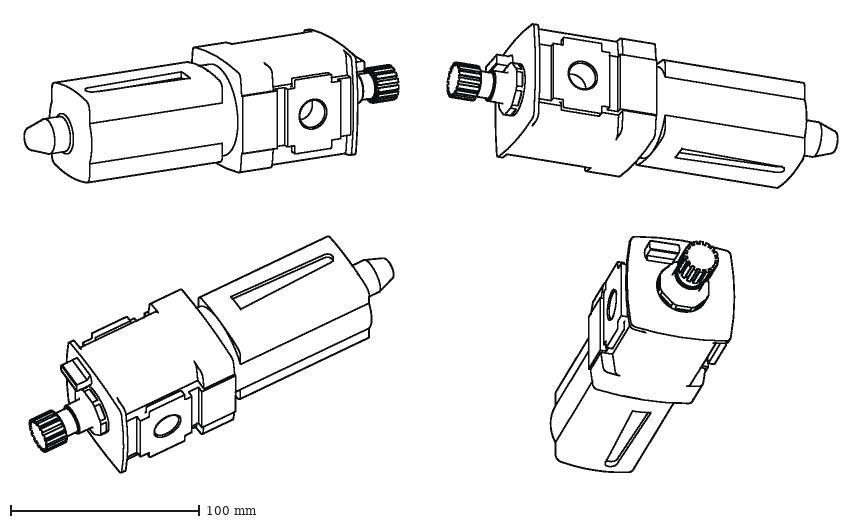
import cadquery as cq
import math


PICK_MARGIN = 2.2

FLANGE_TOP_Y = 69.0
FLANGE_THICKNESS = 2.5
SHOULDER_LENGTH = 18.9
OUTLINE_WIDTH = 59.5
OUTLINE_HALF = OUTLINE_WIDTH / 2
OUTLINE_BOW_RADIUS = 158.2
OUTLINE_CORNER_RADIUS = 3.3
WALL_FOOT_X = 22.5
WALL_LEAN = 0.14
WALL_EDGE_RADIUS = 2.8
PAD_WIDTH = 60.0
PAD_HALF_X = PAD_WIDTH / 2
PAD_HALF_Z = 16.0
LEDGE_WIDTH = 53.0
LEDGE_X = LEDGE_WIDTH / 2
LOWER_PAD_LENGTH = 20.8
PORT_PAD_BOTTOM_Y = 26.9
PORT_PAD_TOP_Y = 58.7
HOOK_HALF_Z = 20.5
HOOK_BOTTOM_Y = 31.2
HOOK_TOP_Y = 53.0
HOOK_FILLET = 0.7
PORT_Y = 42.0
PORT_DIAMETER = 15.0
PORT_MOUTH_DIAMETER = 16.5
PORT_DEPTH = 15.2
PORT_TIP_ANGLE = 118
ADJUSTER_X = -0.7
WASHER_DIAMETER = 28.0
WASHER_HEIGHT = 1.3
NUT_ACROSS_FLATS = 26.7
NUT_SIDES = 8
NUT_TOP_Y = 73.5
STEM_DIAMETER = 16.5
STEM_TOP_Y = 84.0
STEM_FILLET = 2.0
STEM_CHAMFER = 0.7
NECK_DIAMETER = 13.9
KNOB_COLLAR_DIAMETER = 15.0
KNOB_COLLAR_HEIGHT = 0.9
KNOB_BOTTOM_Y = 92.1
KNOB_TOP_Y = 104.3
KNOB_DIAMETER = 18.9
KNOB_TOOTH_COUNT = 16
KNOB_GROOVE_WIDTH = 1.5
KNOB_GROOVE_DEPTH = 1.5
TAB_LEFT_X = 3.5
TAB_RIGHT_X = 20.2
TAB_BOTTOM_Z = 15.8
TAB_TOP_Z = 21.5
TAB_TOP_Y = 78.0
TAB_TIP_CHAMFER = 0.5
TAB_END_RADIUS = 6.5
TAB_FOOT_HEIGHT = 2.4
TAB_FOOT_SPREAD = 1.5

BOWL_DIAMETER = 49.2
BOWL_LENGTH = 87.1
BOWL_NECK_LENGTH = 7.8
GRIP_HALF_X = 21.9
GRIP_BOW_RADIUS = 88.9
GRIP_CORNER_RADIUS = 4.3
CONE_END_DIAMETER = 21.7
CONE_LENGTH = 4.0
NOZZLE_DIAMETER = 18.9
NOZZLE_ROOT_LENGTH = 1.0
NOZZLE_TAPER_Y = -101.5
NOZZLE_END_Y = -112.5
NOZZLE_TIP_DIAMETER = 12.5
NOZZLE_FLAT_DIAMETER = 7.8
NOZZLE_TIP_LENGTH = 2.0
WINDOW_TOP_Y = -21.5
WINDOW_LEFT_X = 0.9
WINDOW_RIGHT_X = 11.0
WINDOW_END_X = 6.3
WINDOW_END_Y = -78
WINDOW_END_RADIUS = 3.3
WINDOW_FLOOR_Z = 21.2


def prism(outline, y_bottom, y_top):
    """Extrude an XZ workplane outline along Y between two levels."""
    return outline.extrude(-(y_top - y_bottom)).translate((0, y_bottom, 0))


def block(x_min, x_max, y_min, y_max, z_min, z_max):
    size = (x_max - x_min, y_max - y_min, z_max - z_min)
    return cq.Workplane("XY").box(*size, centered=False).translate((x_min, y_min, z_min))


def turned(profile):
    """Revolve a profile of (radius, y) points around the Y axis."""
    return profile.close().revolve(360, (0, 0, 0), (0, 1, 0))


def bow_drop(radius, offset):
    """Distance an arc falls below its crown at a given offset from the middle."""
    return radius - math.sqrt(radius**2 - offset**2)


def full_outline(y_bottom, y_top):
    """Square section with four bowed sides and rounded corners."""
    half, radius = OUTLINE_HALF, OUTLINE_BOW_RADIUS
    center_offset = radius - half
    corner = (math.sqrt(2 * radius**2 - center_offset**2) - center_offset) / 2
    outline = (
        cq.Workplane("XZ")
        .moveTo(-corner, corner)
        .threePointArc((0, half), (corner, corner))
        .threePointArc((half, 0), (corner, -corner))
        .threePointArc((0, -half), (-corner, -corner))
        .threePointArc((-half, 0), (-corner, corner))
        .close()
    )
    return prism(outline, y_bottom, y_top).edges("|Y").fillet(OUTLINE_CORNER_RADIUS)


def wall_x(z):
    """X of the leaning side wall at a height above the ledge."""
    return WALL_FOOT_X - WALL_LEAN * (z - PAD_HALF_Z)


def cut_side_recesses(body, y_bottom, y_top):
    """Narrow the middle length to leaning walls above and below a ledge on each side."""
    clear = 2 * OUTLINE_HALF
    corner = prism(
        cq.Workplane("XZ")
        .polyline([
            (WALL_FOOT_X, PAD_HALF_Z), (clear, PAD_HALF_Z), (clear, clear), (wall_x(clear), clear),
        ])
        .close(),
        y_bottom,
        y_top,
    )
    for upper in (corner, corner.mirror("XY")):
        body = body.cut(upper).cut(upper.mirror("YZ"))
    for side in (-1, 1):
        inner, outer = sorted((side * LEDGE_X, side * clear))
        body = body.cut(block(inner, outer, y_bottom, y_top, -PAD_HALF_Z, PAD_HALF_Z))
    wall_top = wall_x(OUTLINE_HALF)
    for x in (-wall_top, wall_top):
        for z in (-OUTLINE_HALF, OUTLINE_HALF):
            crest = cq.selectors.BoxSelector(
                (x - PICK_MARGIN, y_bottom, z - PICK_MARGIN),
                (x + PICK_MARGIN, y_top, z + PICK_MARGIN),
            )
            body = body.edges("|Y").edges(crest).fillet(WALL_EDGE_RADIUS)
    return body


def port_pads():
    """Flat pads and port plates with hooked edges on both sides."""
    lower = block(-PAD_HALF_X, PAD_HALF_X, 0, LOWER_PAD_LENGTH, -PAD_HALF_Z, PAD_HALF_Z)
    plate = block(
        -PAD_HALF_X, PAD_HALF_X, PORT_PAD_BOTTOM_Y, PORT_PAD_TOP_Y, -PAD_HALF_Z, PAD_HALF_Z
    )
    hooks = block(
        -PAD_HALF_X, PAD_HALF_X, HOOK_BOTTOM_Y, HOOK_TOP_Y, -HOOK_HALF_Z, HOOK_HALF_Z
    )
    hook_corners = cq.selectors.BoxSelector(
        (-PAD_HALF_X, HOOK_BOTTOM_Y - PICK_MARGIN, -HOOK_HALF_Z - PICK_MARGIN),
        (PAD_HALF_X, HOOK_TOP_Y + PICK_MARGIN, HOOK_HALF_Z + PICK_MARGIN),
    )
    plate = plate.union(hooks).edges("|X").edges(hook_corners).fillet(HOOK_FILLET)
    hook_gap = block(
        -LEDGE_X, LEDGE_X, PORT_PAD_BOTTOM_Y, PORT_PAD_TOP_Y, -OUTLINE_HALF, OUTLINE_HALF
    )
    return lower.union(plate.cut(hook_gap))


def port_cutter():
    """Drilled blind hole with a chamfered mouth, entering from the -X side."""
    radius = PORT_DIAMETER / 2
    mouth = PORT_MOUTH_DIAMETER / 2
    tip = radius / math.tan(math.radians(PORT_TIP_ANGLE / 2))
    drill = (
        cq.Workplane("XY")
        .polyline([
            (0, 0), (0, mouth), (mouth - radius, radius),
            (PORT_DEPTH, radius), (PORT_DEPTH + tip, 0),
        ])
        .close()
        .revolve(360, (0, 0, 0), (1, 0, 0))
    )
    return drill.translate((-PAD_HALF_X, PORT_Y, 0))


def adjuster():
    """Washer, eight-sided nut with rounded corners, stem, neck and knurled knob."""
    washer_top = FLANGE_TOP_Y + WASHER_HEIGHT
    washer = prism(cq.Workplane("XZ").circle(WASHER_DIAMETER / 2), FLANGE_TOP_Y, washer_top)
    flats = cq.Workplane("XZ").polygon(NUT_SIDES, NUT_ACROSS_FLATS, circumscribed=True)
    rim = cq.Workplane("XZ").circle(WASHER_DIAMETER / 2)
    nut = prism(flats, washer_top, NUT_TOP_Y).intersect(prism(rim, washer_top, NUT_TOP_Y))
    stem_radius = STEM_DIAMETER / 2
    neck_radius = NECK_DIAMETER / 2
    collar_radius = KNOB_COLLAR_DIAMETER / 2
    collar_y = KNOB_BOTTOM_Y - KNOB_COLLAR_HEIGHT
    fillet_mid = STEM_FILLET * (1 - math.sqrt(0.5))
    stem = turned(
        cq.Workplane("XY")
        .moveTo(0, FLANGE_TOP_Y)
        .lineTo(stem_radius + STEM_FILLET, FLANGE_TOP_Y)
        .lineTo(stem_radius + STEM_FILLET, NUT_TOP_Y)
        .threePointArc(
            (stem_radius + fillet_mid, NUT_TOP_Y + fillet_mid),
            (stem_radius, NUT_TOP_Y + STEM_FILLET),
        )
        .lineTo(stem_radius, STEM_TOP_Y - STEM_CHAMFER)
        .lineTo(stem_radius - STEM_CHAMFER, STEM_TOP_Y)
        .lineTo(neck_radius, STEM_TOP_Y)
        .lineTo(neck_radius, collar_y)
        .lineTo(collar_radius, collar_y)
        .lineTo(collar_radius, KNOB_BOTTOM_Y)
        .lineTo(0, KNOB_BOTTOM_Y)
    )
    return washer.union(nut).union(stem).union(knob()).translate((ADJUSTER_X, 0, 0))


def knob():
    """Cylinder with evenly spaced straight grooves around its rim."""
    radius = KNOB_DIAMETER / 2
    body = prism(cq.Workplane("XZ").circle(radius), KNOB_BOTTOM_Y, KNOB_TOP_Y)
    step = 360 / KNOB_TOOTH_COUNT
    for index in range(KNOB_TOOTH_COUNT):
        groove = block(
            radius - KNOB_GROOVE_DEPTH, radius + KNOB_GROOVE_DEPTH,
            KNOB_BOTTOM_Y, KNOB_TOP_Y,
            -KNOB_GROOVE_WIDTH / 2, KNOB_GROOVE_WIDTH / 2,
        )
        angle = (index + 1 / 2) * step
        body = body.cut(groove.rotate((0, 0, 0), (0, 1, 0), angle))
    return body


def lock_tab():
    """Tab on the flange with a chamfered tip, a flared foot and gently rounded ends."""
    foot_y = FLANGE_TOP_Y + TAB_FOOT_HEIGHT
    side = [
        (FLANGE_TOP_Y, TAB_BOTTOM_Z - TAB_FOOT_SPREAD),
        (FLANGE_TOP_Y, TAB_TOP_Z + TAB_FOOT_SPREAD),
        (foot_y, TAB_TOP_Z),
        (TAB_TOP_Y - TAB_TIP_CHAMFER, TAB_TOP_Z),
        (TAB_TOP_Y, TAB_TOP_Z - TAB_TIP_CHAMFER),
        (TAB_TOP_Y, TAB_BOTTOM_Z + TAB_TIP_CHAMFER),
        (TAB_TOP_Y - TAB_TIP_CHAMFER, TAB_BOTTOM_Z),
        (foot_y, TAB_BOTTOM_Z),
    ]
    tab = cq.Workplane("YZ").polyline(side).close().extrude(TAB_RIGHT_X - TAB_LEFT_X)
    half_z = (TAB_TOP_Z - TAB_BOTTOM_Z) / 2 + TAB_FOOT_SPREAD
    middle_z = (TAB_TOP_Z + TAB_BOTTOM_Z) / 2
    bulge = bow_drop(TAB_END_RADIUS, half_z)
    footprint = (
        cq.Workplane("XZ")
        .moveTo(TAB_LEFT_X + bulge, middle_z + half_z)
        .lineTo(TAB_RIGHT_X - bulge, middle_z + half_z)
        .threePointArc((TAB_RIGHT_X, middle_z), (TAB_RIGHT_X - bulge, middle_z - half_z))
        .lineTo(TAB_LEFT_X + bulge, middle_z - half_z)
        .threePointArc((TAB_LEFT_X, middle_z), (TAB_LEFT_X + bulge, middle_z + half_z))
        .close()
    )
    return tab.translate((TAB_LEFT_X, 0, 0)).intersect(prism(footprint, FLANGE_TOP_Y, TAB_TOP_Y))


def make_housing():
    flange_bottom = FLANGE_TOP_Y - FLANGE_THICKNESS
    body = (
        cut_side_recesses(full_outline(0, FLANGE_TOP_Y), SHOULDER_LENGTH, flange_bottom)
        .union(port_pads())
        .union(adjuster())
        .union(lock_tab())
    )
    port = port_cutter()
    return body.cut(port).cut(port.mirror("YZ"))


def grip_section():
    """Slab with bowed top and bottom that squares off the bowl."""
    crown = BOWL_DIAMETER / 2
    edge_z = crown - bow_drop(GRIP_BOW_RADIUS, GRIP_HALF_X)
    outline = (
        cq.Workplane("XZ")
        .moveTo(-GRIP_HALF_X, edge_z)
        .threePointArc((0, crown), (GRIP_HALF_X, edge_z))
        .lineTo(GRIP_HALF_X, -edge_z)
        .threePointArc((0, -crown), (-GRIP_HALF_X, -edge_z))
        .close()
    )
    return prism(outline, -BOWL_LENGTH, -BOWL_NECK_LENGTH).edges("|Y").fillet(GRIP_CORNER_RADIUS)


def bowl_core():
    """Turned bowl wall, shallow end cone and drain nozzle."""
    radius = BOWL_DIAMETER / 2
    nozzle = NOZZLE_DIAMETER / 2
    cone_end_y = -BOWL_LENGTH - CONE_LENGTH
    tip_y = NOZZLE_END_Y + NOZZLE_TIP_LENGTH
    tip_radius = NOZZLE_TIP_DIAMETER / 2
    flat_radius = NOZZLE_FLAT_DIAMETER / 2
    bulge = math.sqrt(0.5)
    return turned(
        cq.Workplane("XY")
        .moveTo(0, 0)
        .lineTo(radius, 0)
        .lineTo(radius, -BOWL_LENGTH)
        .lineTo(CONE_END_DIAMETER / 2, cone_end_y)
        .lineTo(nozzle, cone_end_y - NOZZLE_ROOT_LENGTH)
        .lineTo(nozzle, NOZZLE_TAPER_Y)
        .lineTo(tip_radius, tip_y)
        .threePointArc(
            (flat_radius + (tip_radius - flat_radius) * bulge, tip_y - NOZZLE_TIP_LENGTH * bulge),
            (flat_radius, NOZZLE_END_Y),
        )
        .lineTo(0, NOZZLE_END_Y)
    )


def window_cutter():
    """Tapered recess with a flat floor, square at the top and round at the bottom."""
    outline = (
        cq.Workplane("XY")
        .moveTo(WINDOW_LEFT_X, WINDOW_TOP_Y)
        .lineTo(WINDOW_RIGHT_X, WINDOW_TOP_Y)
        .lineTo(WINDOW_END_X + WINDOW_END_RADIUS, WINDOW_END_Y)
        .threePointArc(
            (WINDOW_END_X, WINDOW_END_Y - WINDOW_END_RADIUS),
            (WINDOW_END_X - WINDOW_END_RADIUS, WINDOW_END_Y),
        )
        .close()
    )
    return outline.extrude(BOWL_DIAMETER / 2).translate((0, 0, WINDOW_FLOOR_Z))


def make_bowl():
    window = window_cutter()
    opposite_window = window.rotate((0, 0, 0), (0, 1, 0), 180)
    return bowl_core().union(grip_section()).cut(window).cut(opposite_window)


housing = make_housing()
bowl = make_bowl()
result = cq.Compound.makeCompound([housing.val(), bowl.val()])